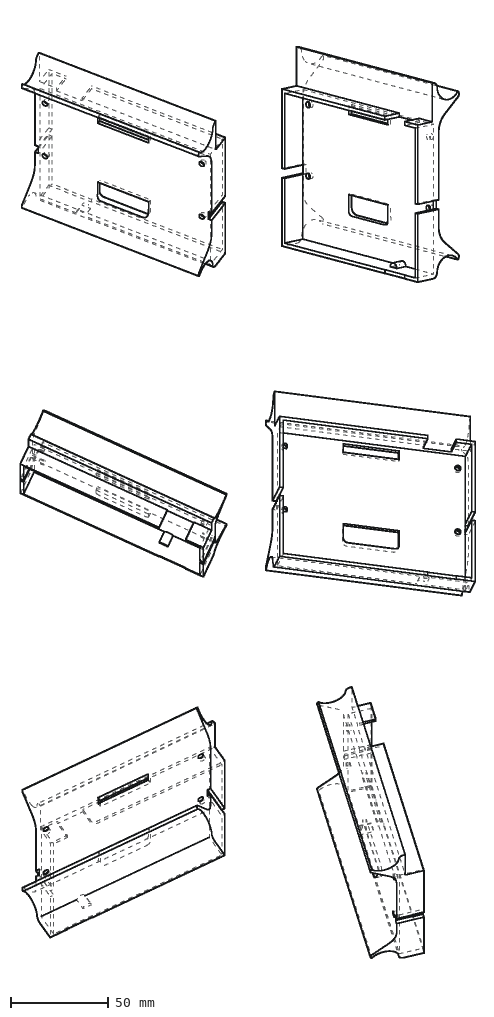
import cadquery as cq
import math

WIDTH = 104.0
HEIGHT = 104.0
DEPTH = 28.7
PANEL_FRONT = 14.7
PANEL_THICKNESS = 2.0
STEP_DEPTH = 10.1
HOUSING_TOP = 83.4

EDGE_RADIUS = 3.0
GROOVE_RADIUS = 7.9
GROOVE_START = 13.5
GROOVE_DEPTH = 10.6
LIP_END_OFFSET = 6.5
LIP_NOSE = 8.9
LIP_UNDER_DEPTH = 28.1
LIP_UNDER_LEVEL = 10.3
FLARE_START = 26.7
FLARE_RADIUS = 11.4

WALL = 2.0
CAVITY_BOTTOM = WALL
CAVITY_TOP = HOUSING_TOP - WALL
SLOT_BOTTOM = 36.3
SLOT_TOP = 41.3

TOP_NOTCH_LEFT = -41.9
TOP_NOTCH_RIGHT = -26.8
FLOOR_RECESS = 0.2

BOSS_DIAMETER = 5.0
BOSS_X = -26.4
BOSS_Z = CAVITY_BOTTOM
BOSS_END = 6.3

WINDOW_WIDTH = 29.7
UPPER_WINDOW_BOTTOM = 74.6
UPPER_WINDOW_TOP = 79.6
LOWER_WINDOW_BOTTOM = 21.0
LOWER_WINDOW_TOP = 32.0
LOWER_WINDOW_RADIUS = 2.5
HOLE_DIAMETER = 3.0
HOLE_INSET = 5.9
HOLE_LEVELS = (36.1, 73.9)


def box(x_range, y_range, z_range):
    """Axis-aligned box between pairs of limits."""
    sizes = [high - low for low, high in (x_range, y_range, z_range)]
    corner = (x_range[0], y_range[0], z_range[0])
    return cq.Workplane("XY").box(*sizes, centered=False).translate(corner)


def half_body():
    """Lower half of the body: panel, flare, pointed lip, groove and rounded edge."""
    groove_y = -(GROOVE_START + GROOVE_RADIUS)
    groove_z = GROOVE_DEPTH - GROOVE_RADIUS
    lip_drop = math.sqrt(GROOVE_RADIUS**2 - LIP_END_OFFSET**2)
    edge_y = EDGE_RADIUS - GROOVE_START
    edge_angle = (math.pi / 2 + math.asin((EDGE_RADIUS - groove_z) / EDGE_RADIUS)) / 2
    edge_mid = (edge_y - EDGE_RADIUS * math.cos(edge_angle),
                EDGE_RADIUS * (1 - math.sin(edge_angle)))

    out = LIP_UNDER_DEPTH - PANEL_FRONT - FLARE_RADIUS
    down = FLARE_START - LIP_UNDER_LEVEL
    flare_angle = math.atan2(down, -out) - math.acos(FLARE_RADIUS / math.hypot(out, down))

    def flare_point(angle):
        return (-PANEL_FRONT - FLARE_RADIUS * (1 - math.cos(angle)),
                FLARE_START - FLARE_RADIUS * math.sin(angle))

    profile = (
        cq.Workplane("YZ")
        .moveTo(0, 0)
        .lineTo(0, HEIGHT / 2)
        .lineTo(-PANEL_FRONT, HEIGHT / 2)
        .lineTo(-PANEL_FRONT, FLARE_START)
        .threePointArc(flare_point(flare_angle / 2), flare_point(flare_angle))
        .lineTo(-LIP_UNDER_DEPTH, LIP_UNDER_LEVEL)
        .threePointArc((-DEPTH, LIP_NOSE), (groove_y - LIP_END_OFFSET, groove_z + lip_drop))
        .threePointArc((groove_y, GROOVE_DEPTH), (-GROOVE_START, groove_z))
        .threePointArc(edge_mid, (edge_y, 0))
        .close()
    )
    return profile.extrude(WIDTH / 2, both=True)


def rear_cavity():
    """Hollow behind the panel, open at the back."""
    half_inside = WIDTH / 2 - WALL
    return box(
        (-half_inside, half_inside),
        (PANEL_THICKNESS - PANEL_FRONT, 0),
        (CAVITY_BOTTOM, CAVITY_TOP),
    )


def side_slots():
    """Slots through both side walls, reaching the front of the panel."""
    left = box((-WIDTH / 2, WALL - WIDTH / 2), (-DEPTH, 0), (SLOT_BOTTOM, SLOT_TOP))
    return left.union(left.mirror("YZ"))


def windows():
    """Two openings through the panel; the lower one has rounded bottom corners."""
    x_range = (-WINDOW_WIDTH / 2, WINDOW_WIDTH / 2)
    y_range = (-DEPTH, PANEL_THICKNESS - PANEL_FRONT)
    upper = box(x_range, y_range, (UPPER_WINDOW_BOTTOM, UPPER_WINDOW_TOP))
    lower = box(x_range, y_range, (LOWER_WINDOW_BOTTOM, LOWER_WINDOW_TOP))
    lower = lower.edges("|Y").edges("<Z").fillet(LOWER_WINDOW_RADIUS)
    return upper.union(lower)


def screw_holes():
    """Four holes through the panel."""
    hole_x = WIDTH / 2 - HOLE_INSET
    return (
        cq.Workplane("XZ")
        .pushPoints([(x, z) for x in (-hole_x, hole_x) for z in HOLE_LEVELS])
        .circle(HOLE_DIAMETER / 2)
        .extrude(DEPTH)
    )


def panel_boss():
    """Half-round boss on the back of the panel, standing on the cavity floor."""
    root = PANEL_FRONT - PANEL_THICKNESS
    return (
        cq.Workplane("XZ", origin=(0, -BOSS_END, 0))
        .center(BOSS_X, BOSS_Z)
        .circle(BOSS_DIAMETER / 2)
        .extrude(root - BOSS_END)
        .intersect(rear_cavity())
    )


lower_half = half_body()
upper_half = lower_half.mirror("XY").translate((0, 0, HEIGHT))
body = lower_half.union(upper_half)

full_width = (-WIDTH / 2, WIDTH / 2)
notch_width = (TOP_NOTCH_LEFT, TOP_NOTCH_RIGHT)
back_step = box(full_width, (-STEP_DEPTH, 0), (HOUSING_TOP, HEIGHT))
top_notch = box(notch_width, (-STEP_DEPTH, 0), (CAVITY_TOP, HOUSING_TOP))
floor_recess = box(notch_width, (-FLOOR_RECESS, 0), (0, CAVITY_BOTTOM))

result = (
    body.cut(back_step)
    .cut(rear_cavity())
    .cut(side_slots())
    .cut(windows())
    .cut(screw_holes())
    .cut(top_notch)
    .cut(floor_recess)
    .union(panel_boss())
)